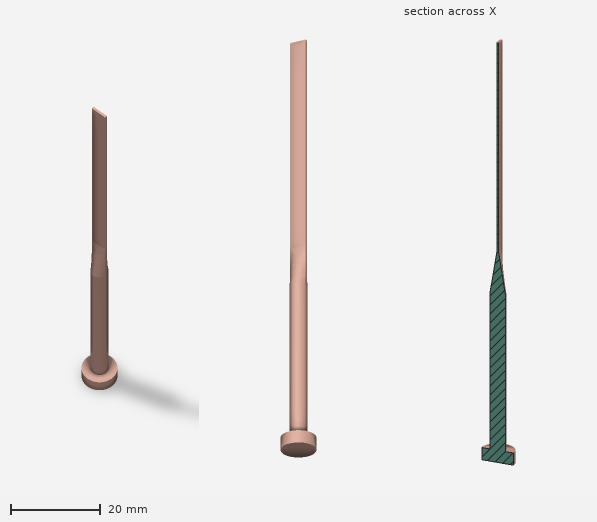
import cadquery as cq
import math

total_length = 100.0
head_diameter = 8.0
head_height = 3.0
shaft_diameter = 4.0
shaft_top = 40.0
taper_top = 50.0

blade_width = 3.9
blade_thickness = 0.6
shaft_radius = shaft_diameter / 2
half_thickness = blade_thickness / 2
half_width = blade_width / 2

half_chord = math.sqrt(shaft_radius**2 - half_width**2)


def make_cylinder(diameter, bottom, top):
    return cq.Workplane("XY").workplane(offset=bottom).circle(diameter / 2).extrude(top - bottom)


def make_taper():
    """Blend from the shaft circle, flattened on both X sides, to the blade section."""
    return (
        cq.Workplane("XY")
        .workplane(offset=shaft_top)
        .moveTo(-half_width, -half_chord)
        .threePointArc((0, -shaft_radius), (half_width, -half_chord))
        .lineTo(half_width, half_chord)
        .threePointArc((0, shaft_radius), (-half_width, half_chord))
        .close()
        .workplane(offset=taper_top - shaft_top)
        .moveTo(-half_width, -half_thickness)
        .lineTo(half_width, -half_thickness)
        .lineTo(half_width, half_thickness)
        .lineTo(-half_width, half_thickness)
        .close()
        .loft(ruled=True)
    )


def make_blade():
    return (
        cq.Workplane("XY")
        .workplane(offset=taper_top)
        .rect(blade_width, blade_thickness)
        .extrude(total_length - taper_top)
    )


head = make_cylinder(head_diameter, 0, head_height)
shaft = make_cylinder(shaft_diameter, head_height, shaft_top)
result = head.union(shaft).union(make_taper()).union(make_blade())